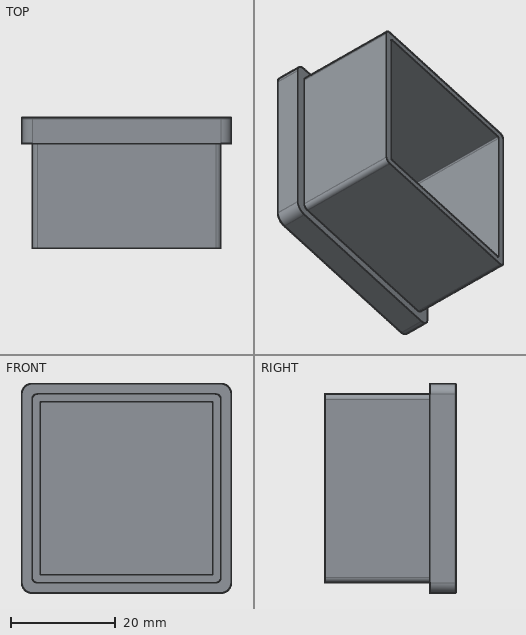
import cadquery as cq


flange_side = 40.0
flange_thickness = 5.0
flange_corner_radius = 2.0
outer_face_fillet = 0.25

flange_overhang = 2.0
plug_side = flange_side - 2 * flange_overhang
plug_length = 20.0
plug_corner_radius = 1.0

wall_thickness = 1.5
cavity_side = plug_side - 2 * wall_thickness
cavity_corner_radius = 0.25
cavity_depth = plug_length


def rounded_square_prism(side, corner_radius, y_start, length):
    """Square bar centred on the Y axis, from y_start toward +Y, with rounded corners."""
    return (
        cq.Workplane("XZ", origin=(0, y_start, 0))
        .rect(side, side)
        .extrude(-length)
        .edges("|Y")
        .fillet(corner_radius)
    )


def make_flange():
    """Cover plate with its outer (+Y) rim softened."""
    plate = rounded_square_prism(flange_side, flange_corner_radius, plug_length, flange_thickness)
    return plate.faces(">Y").edges().fillet(outer_face_fillet)


plug = rounded_square_prism(plug_side, plug_corner_radius, 0, plug_length)
cavity = rounded_square_prism(cavity_side, cavity_corner_radius, 0, cavity_depth)

result = make_flange().union(plug).cut(cavity)